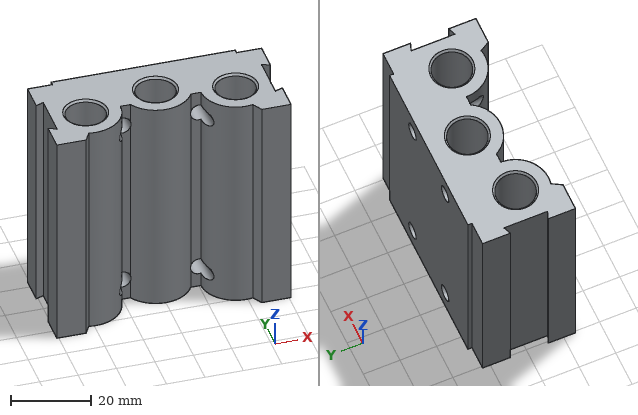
import cadquery as cq
import math

width = 61.0
depth = 26.5
height = 59.0

pad_width = 47.95
pad_height = 1.1

bore_diameter = 10.4
bore_chamfer = 0.55
wall_radius = 9.0
side_bore_x = 19.5
side_bore_y = 11.45
middle_bore_y = 15.9
bore_centers = [(-side_bore_x, side_bore_y), (0, middle_bore_y), (side_bore_x, side_bore_y)]

foot_width = 7.6
foot_flank_angle = 60.0

groove_depth = 2.1
groove_mouth = 10.4
groove_flank_angle = 20.0
groove_center_y = 12.6

mount_diameter = 4.5
mount_spacing_x = 20.0
mount_spacing_z = 47.0


def box_at(size_x, size_y, center_x, start_y):
    """Full-height box, centred on center_x and growing in +Y from start_y."""
    return (
        cq.Workplane("XY")
        .center(center_x, start_y + size_y / 2)
        .rect(size_x, size_y)
        .extrude(height)
    )


def make_body():
    """Block, back pad, round bore walls and front feet."""
    block_depth = depth - pad_height - side_bore_y
    body = box_at(width, block_depth, 0, side_bore_y)
    body = body.union(box_at(pad_width, depth - side_bore_y, 0, side_bore_y))
    walls = cq.Workplane("XY").pushPoints(bore_centers).circle(wall_radius).extrude(height)
    body = body.union(walls)
    for side in (-1, 1):
        body = body.union(make_foot(side))
    return body


def make_foot(side):
    """Corner foot whose sloped flank ends inside the side bore wall."""
    outer_x = side * width / 2
    toe_x = side * (width / 2 - foot_width)
    flank_run = side_bore_y / math.tan(math.radians(foot_flank_angle))
    return (
        cq.Workplane("XY")
        .polyline([
            (outer_x, 0),
            (toe_x, 0),
            (toe_x - side * flank_run, side_bore_y),
            (outer_x, side_bore_y),
        ])
        .close()
        .extrude(height)
    )


def make_groove(side):
    """Dovetail groove, wider at its floor than at its mouth."""
    mouth_x = side * width / 2
    floor_x = side * (width / 2 - groove_depth)
    half_mouth = groove_mouth / 2
    half_floor = half_mouth + groove_depth * math.tan(math.radians(groove_flank_angle))
    return (
        cq.Workplane("XY")
        .polyline([
            (mouth_x, groove_center_y - half_mouth),
            (floor_x, groove_center_y - half_floor),
            (floor_x, groove_center_y + half_floor),
            (mouth_x, groove_center_y + half_mouth),
        ])
        .close()
        .extrude(height)
    )


def make_bores():
    """Through bores, flared at both ends to cut the entry chamfers."""
    bore_radius = bore_diameter / 2
    mouth_radius = bore_radius + bore_chamfer
    bore = (
        cq.Workplane("XZ")
        .polyline([
            (0, 0),
            (mouth_radius, 0),
            (bore_radius, bore_chamfer),
            (bore_radius, height - bore_chamfer),
            (mouth_radius, height),
            (0, height),
        ])
        .close()
        .revolve(360, (0, 0, 0), (0, 1, 0))
    )
    bores = cq.Workplane("XY")
    for x, y in bore_centers:
        bores = bores.add(bore.translate((x, y, 0)))
    return bores.combine()


def make_mounting_holes():
    """Four holes running from front to back."""
    return (
        cq.Workplane("XZ", origin=(0, 0, height / 2))
        .rarray(mount_spacing_x, mount_spacing_z, 2, 2)
        .circle(mount_diameter / 2)
        .extrude(-depth)
    )


result = make_body()
for side in (-1, 1):
    result = result.cut(make_groove(side))
result = result.cut(make_bores()).cut(make_mounting_holes())